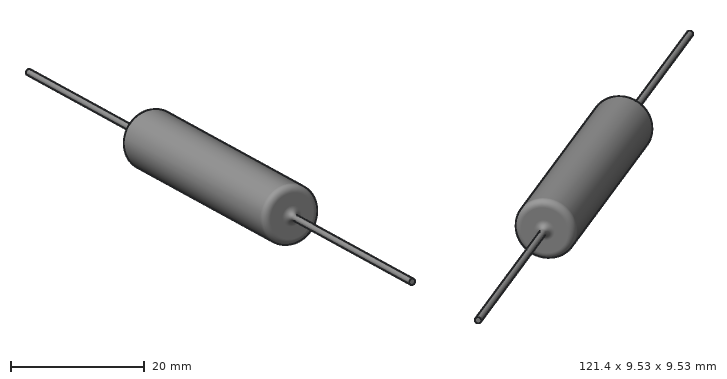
import cadquery as cq


body_length = 45.21
body_radius = 9.53 / 2
body_edge_radius = 1.1

lead_length = 38.1
lead_radius = 1.02 / 2
root_fillet_radius = 1.08

body_end = body_length / 2
rim_start = body_end - body_edge_radius
root_end = body_end + root_fillet_radius
lead_end = body_end + lead_length

face_outer_radius = body_radius - body_edge_radius
face_inner_radius = lead_radius + root_fillet_radius


def section():
    """Closed half section above the X axis, drawn from the -X tip to the +X tip."""
    return (
        cq.Workplane("XZ")
        .moveTo(-lead_end, 0)
        .lineTo(-lead_end, lead_radius)
        .lineTo(-root_end, lead_radius)
        .radiusArc((-body_end, face_inner_radius), -root_fillet_radius)
        .lineTo(-body_end, face_outer_radius)
        .radiusArc((-rim_start, body_radius), body_edge_radius)
        .lineTo(rim_start, body_radius)
        .radiusArc((body_end, face_outer_radius), body_edge_radius)
        .lineTo(body_end, face_inner_radius)
        .radiusArc((root_end, lead_radius), -root_fillet_radius)
        .lineTo(lead_end, lead_radius)
        .lineTo(lead_end, 0)
        .close()
    )


result = section().revolve(360, (0, 0, 0), (1, 0, 0))